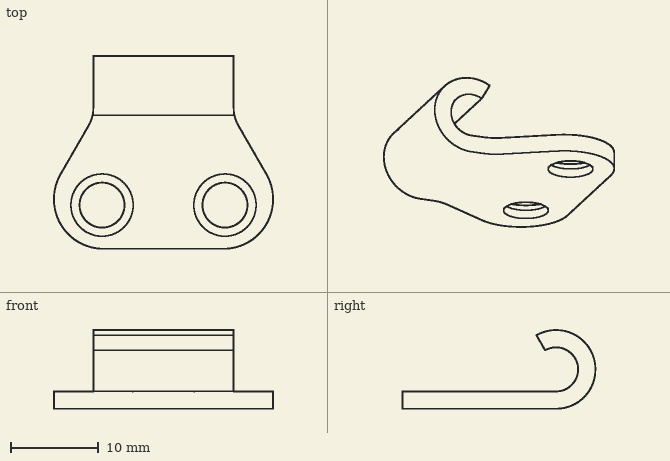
import cadquery as cq
import math

overall_width = 25.0
overall_length = 22.0
thickness = 2.0
corner_radius = 5.68
flank_angle = math.radians(30)

hook_width = 16.0
hook_outer_radius = 4.5
hook_opening_angle = math.radians(60)
neck_radius = 4.0

hole_diameter = 5.1
countersink_diameter = 7.1
countersink_angle = 90.0
hole_spacing = 14.0
hole_y = 5.0

hook_inner_radius = hook_outer_radius - thickness
hook_y = overall_length - hook_outer_radius
hook_z = hook_outer_radius
half_tab = hook_width / 2
corner_x = overall_width / 2 - corner_radius
neck_x = half_tab + neck_radius

neck_y = corner_radius + (
    corner_radius + neck_radius - (neck_x - corner_x) * math.cos(flank_angle)
) / math.sin(flank_angle)


def polar(center_x, center_y, radius, angle):
    """Point on a circle at the given angle."""
    return (center_x + radius * math.cos(angle), center_y + radius * math.sin(angle))


def mirrored(point):
    """The same point on the other side of the YZ plane."""
    return (-point[0], point[1])


def make_plate():
    corner_mid = polar(corner_x, corner_radius, corner_radius, (flank_angle - math.pi / 2) / 2)
    corner_end = polar(corner_x, corner_radius, corner_radius, flank_angle)
    neck_start = polar(neck_x, neck_y, neck_radius, math.pi + flank_angle)
    neck_mid = polar(neck_x, neck_y, neck_radius, math.pi + flank_angle / 2)
    neck_end = (half_tab, neck_y)
    return (
        cq.Workplane("XY")
        .moveTo(-corner_x, 0)
        .lineTo(corner_x, 0)
        .threePointArc(corner_mid, corner_end)
        .lineTo(*neck_start)
        .threePointArc(neck_mid, neck_end)
        .lineTo(half_tab, hook_y)
        .lineTo(-half_tab, hook_y)
        .lineTo(*mirrored(neck_end))
        .threePointArc(mirrored(neck_mid), mirrored(neck_start))
        .lineTo(*mirrored(corner_end))
        .threePointArc(mirrored(corner_mid), (-corner_x, 0))
        .close()
        .extrude(thickness)
    )


def make_hook():
    end_angle = math.pi - hook_opening_angle
    mid_angle = (end_angle - math.pi / 2) / 2
    return (
        cq.Workplane("YZ")
        .moveTo(hook_y, 0)
        .threePointArc(
            polar(hook_y, hook_z, hook_outer_radius, mid_angle),
            polar(hook_y, hook_z, hook_outer_radius, end_angle),
        )
        .lineTo(*polar(hook_y, hook_z, hook_inner_radius, end_angle))
        .threePointArc(
            polar(hook_y, hook_z, hook_inner_radius, mid_angle),
            (hook_y, thickness),
        )
        .close()
        .extrude(half_tab, both=True)
    )


def cut_screw_holes(plate):
    return (
        plate.faces(">Z")
        .workplane(origin=(0, 0, thickness))
        .pushPoints([(-hole_spacing / 2, hole_y), (hole_spacing / 2, hole_y)])
        .cskHole(hole_diameter, countersink_diameter, countersink_angle)
    )


result = cut_screw_holes(make_plate()).union(make_hook())